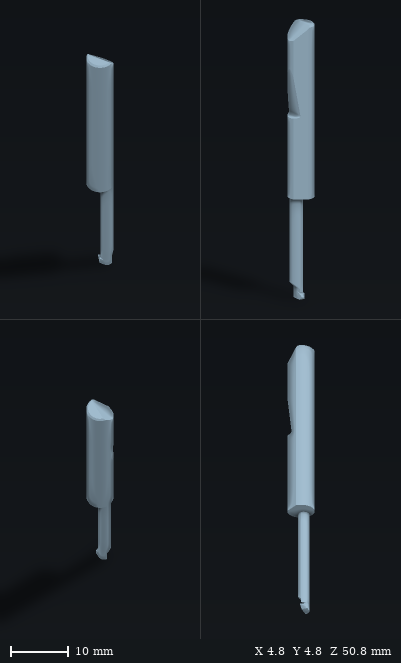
import cadquery as cq

total_length = 50.8
shank_radius = 2.4
neck_length = 19.1
chamfer_size = 0.3

flat_start_y = 0.05
flat_end_y = 2.2

slope_start_y = -0.5

notch_floor_y = 1.1
notch_floor_z = 34.05
notch_ramp_rise = 8.75
notch_fillet = 0.4

neck_radius = 1.05
neck_back_radius = 1.6
neck_back_top = 1.0
neck_axis_y = 0.05
neck_x = shank_radius - neck_radius

relief_start_z = 2.05

tooth_point_x = -0.45
tooth_point_z = 0.65
tooth_root_x = 0.4
tooth_shoulder_z = 1.05
tooth_depth = 1.05
rear_point_z = 0.3
roof_front_z = 1.35


def prism_along_x(outline):
    """Extrude a closed (y, z) outline across the full width of the shank."""
    return cq.Workplane("YZ").polyline(outline).close().extrude(shank_radius * 2, both=True)


def make_shank():
    shank = cq.Workplane("XY").workplane(offset=neck_length)
    shank = shank.circle(shank_radius).extrude(total_length - neck_length)
    return shank.faces(">Z").chamfer(chamfer_size)


def make_flat_cutter():
    start_x = -(shank_radius**2 - flat_start_y**2) ** 0.5
    end_x = -(shank_radius**2 - flat_end_y**2) ** 0.5
    run_x = end_x - start_x
    run_y = flat_end_y - flat_start_y
    outline = [
        (start_x - run_x, flat_start_y - run_y),
        (end_x + run_x, flat_end_y + run_y),
        (start_x - run_x, flat_end_y + run_y),
    ]
    return cq.Workplane("XY").workplane(offset=neck_length).polyline(outline).close().extrude(total_length)


def make_slope_cutter():
    reach = 2 * shank_radius
    return prism_along_x([
        (slope_start_y, total_length),
        (slope_start_y + reach, total_length - reach),
        (slope_start_y + reach, total_length),
    ])


def make_notch_cutter():
    depth = shank_radius - notch_floor_y
    wall_drop = depth**2 / notch_ramp_rise
    outer_y = notch_floor_y + 2 * depth
    notch = prism_along_x([
        (notch_floor_y, notch_floor_z),
        (outer_y, notch_floor_z - 2 * wall_drop),
        (outer_y, notch_floor_z + 2 * notch_ramp_rise),
    ])
    return notch.edges("|X and <Y").fillet(notch_fillet)


def cylinder(x, y, radius):
    return cq.Workplane("XY").center(x, y).circle(radius).extrude(neck_length)


def slab(corner_x, corner_y):
    """Square column, wider than the shank, that starts at its smallest X and Y."""
    side = 2 * shank_radius
    return cq.Workplane("XY").box(side, side, neck_length, centered=False).translate((corner_x, corner_y, 0))


def make_neck():
    """Build the neck with its cutting face on y = 0."""
    left_x = neck_x - neck_radius
    back_y = neck_back_top - neck_back_radius
    back_x = left_x + (neck_back_radius**2 - back_y**2) ** 0.5
    front_half = cylinder(neck_x, 0, neck_radius).cut(slab(-shank_radius, 0))
    back_half = cylinder(back_x, back_y, neck_back_radius).intersect(slab(-shank_radius, 0))
    shank_outline = cylinder(0, -neck_axis_y, shank_radius)
    neck = front_half.union(back_half).intersect(shank_outline)

    relief = prism_along_x([
        (0, 0),
        (0, relief_start_z),
        (shank_radius, relief_start_z + shank_radius),
        (shank_radius, 0),
    ])
    roof_slope = (roof_front_z - tooth_shoulder_z) / tooth_depth
    pocket_back_z = roof_front_z - roof_slope * shank_radius
    pocket = prism_along_x([
        (0, 0),
        (0, roof_front_z),
        (-shank_radius, pocket_back_z),
        (-shank_radius, 0),
    ])
    tooth_side = slab(neck_x - 2 * shank_radius, -2 * shank_radius)
    return neck.cut(relief).cut(pocket.intersect(tooth_side))


def make_tooth():
    """Taper the tooth from its pointed cutting face to its narrower back."""
    cutting_face = [
        (neck_x, 0),
        (neck_x, roof_front_z),
        (tooth_root_x, tooth_shoulder_z),
        (tooth_point_x, tooth_point_z),
        (tooth_root_x, 0),
    ]
    back_face = [
        (neck_x, 0),
        (neck_x, tooth_shoulder_z),
        (tooth_root_x, tooth_shoulder_z),
        (tooth_root_x, rear_point_z),
        (tooth_root_x, 0),
    ]
    return (
        cq.Workplane("XZ").polyline(cutting_face).close()
        .workplane(offset=tooth_depth).polyline(back_face).close()
        .loft(ruled=True)
    )


shank = make_shank().cut(make_flat_cutter()).cut(make_slope_cutter()).cut(make_notch_cutter())
neck_and_tooth = make_neck().union(make_tooth()).translate((0, neck_axis_y, 0))
result = shank.union(neck_and_tooth)